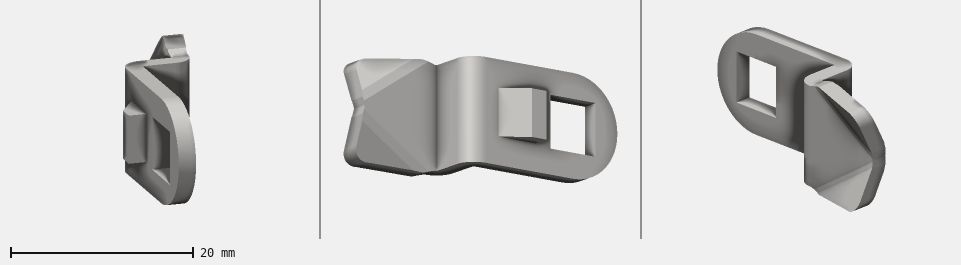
import cadquery as cq
import math

length = 30.0
thickness = 2.0
half_width = 6.0
fork_front = 6.05
fork_back = fork_front + thickness
wall_left = 9.93
wall_right = wall_left + thickness
bend_radius = 2.2
end_center = length - half_width

hole_side = 6.1

lug_left = 13.92
lug_ridge = 16.95
lug_right = 18.92
lug_height = 5.52
lug_depth = 2.0

fold_slope = 33.5
fold_step = 15.4
first_fold = 0.35
second_fold = 1.45
wing_reach = 12.0
fold_run = 18.0

notch_x = 0.15
notch_half_height = 0.03
tip_z = 0.95
corner_start = (0.15, 4.15)
corner_middle = (0.63, 5.37)
corner_end = (2.0, 5.9)
shoulder = (8.15, 6.42)
neck_x = wall_left - 0.27


def make_stepped_plate():
    """Bent strip with a fully rounded right end and a square hole."""
    strip = (
        cq.Workplane("XY")
        .moveTo(neck_x, fork_front)
        .lineTo(wall_left, fork_front)
        .lineTo(wall_left, bend_radius)
        .radiusArc((wall_left + bend_radius, 0), -bend_radius)
        .lineTo(length, 0)
        .lineTo(length, thickness)
        .lineTo(wall_right, thickness)
        .lineTo(wall_right, fork_back - bend_radius)
        .radiusArc((wall_right - bend_radius, fork_back), -bend_radius)
        .lineTo(neck_x, fork_back)
        .close()
        .extrude(half_width, both=True)
    )
    outline = (
        cq.Workplane("XZ")
        .moveTo(0, -half_width)
        .lineTo(end_center, -half_width)
        .threePointArc((length, 0), (end_center, half_width))
        .lineTo(0, half_width)
        .close()
        .extrude(-fork_back)
    )
    hole = (
        cq.Workplane("XZ")
        .center(end_center, 0)
        .rect(hole_side, hole_side)
        .extrude(-thickness)
    )
    return strip.intersect(outline).cut(hole)


def make_lug():
    """Wedge-fronted catch on the face plate."""
    return (
        cq.Workplane("XY")
        .polyline([(lug_left, 0), (lug_ridge, -lug_depth), (lug_right, -lug_depth), (lug_right, 0)])
        .close()
        .extrude(lug_height / 2, both=True)
    )


def make_upper_fork():
    """Upper half of the fork: a twice-folded sheet trimmed square to the XZ plane."""
    step = math.radians(fold_step)
    strip_back = fork_front + (second_fold - first_fold) * math.tan(step)
    wing_rise = (wing_reach - second_fold) * math.tan(2 * step)
    first_inner = first_fold - thickness * math.tan(step / 2)
    miter = thickness / math.cos(step / 2)
    second_inner = second_fold - miter * math.sin(1.5 * step)
    second_inner_y = strip_back + miter * math.cos(1.5 * step)
    inner_end_y = second_inner_y + (wing_reach - second_inner) * math.tan(2 * step)

    slope = math.radians(fold_slope)
    across = cq.Plane(
        origin=(0, 0, 0),
        xDir=(-math.sin(slope), 0, math.cos(slope)),
        normal=(-math.cos(slope), 0, -math.sin(slope)),
    )
    sheet = (
        cq.Workplane(across)
        .polyline([
            (-wing_reach, fork_front),
            (first_fold, fork_front),
            (second_fold, strip_back),
            (wing_reach, strip_back + wing_rise),
            (wing_reach, inner_end_y),
            (second_inner, second_inner_y),
            (first_inner, fork_back),
            (-wing_reach, fork_back),
        ])
        .close()
        .extrude(fold_run, both=True)
    )
    outline = (
        cq.Workplane("XZ")
        .moveTo(notch_x, 0)
        .lineTo(notch_x, notch_half_height)
        .lineTo(0, tip_z)
        .lineTo(*corner_start)
        .threePointArc(corner_middle, corner_end)
        .lineTo(*shoulder)
        .lineTo(neck_x, half_width)
        .lineTo(neck_x, 0)
        .close()
        .extrude(-length)
    )
    return sheet.intersect(outline)


upper_fork = make_upper_fork()
lower_fork = upper_fork.mirror("XY")
result = make_stepped_plate().union(make_lug()).union(upper_fork).union(lower_fork)